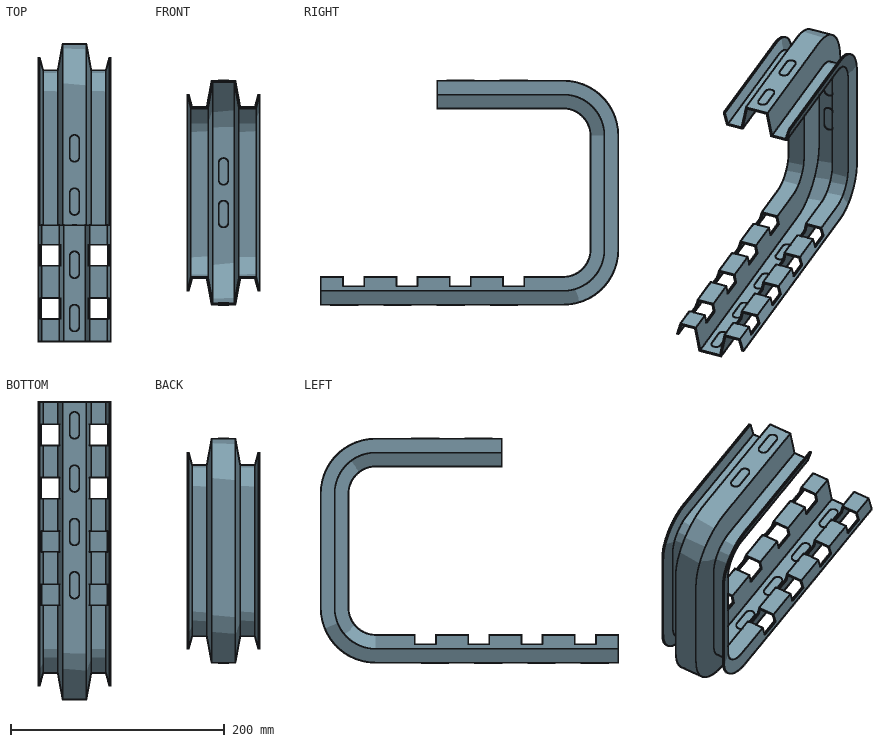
import cadquery as cq
import math

lower_arm_length = 278.7
upper_arm_length = 169.7
height = 210.0
bend_radius = 51.5

sheet = 1.5
section_depth = 26.2
section_half_width = 34.0
web_half_width = 11.1
wall_angle = 10.5
lip_angle = 15.0
lip_edge_depth = 13.0

pad_length = 25.0
pad_width = 9.0
pad_rise = 0.3
arm_pad_end_distance = 22.0
back_pad_spacing = 39.9

notch_length = 19.5
notch_depth = 8.6
notch_end_distance = 31.0

arm_pitch = 50.0
lower_arm_count = 4
upper_arm_count = 2


def section_outline():
    """Closed outline of the hat section, with the web along z = 0."""
    wall_slope = math.tan(math.radians(wall_angle))
    lip_slope = math.tan(math.radians(lip_angle))
    wall_width = sheet / math.cos(math.radians(wall_angle))
    lip_width = sheet / math.cos(math.radians(lip_angle))

    def wall_outer(z):
        return web_half_width + z * wall_slope

    def lip_outer(z):
        return section_half_width - (z - lip_edge_depth) * lip_slope

    flange_depth = section_depth - sheet
    half = [
        (web_half_width, 0),
        (wall_outer(flange_depth), flange_depth),
        (lip_outer(flange_depth) - lip_width, flange_depth),
        (section_half_width - lip_width, lip_edge_depth),
        (section_half_width, lip_edge_depth),
        (lip_outer(section_depth), section_depth),
        (wall_outer(section_depth) - wall_width, section_depth),
        (wall_outer(sheet) - wall_width, sheet),
    ]
    mirrored = [(-x, z) for x, z in reversed(half)]
    return cq.Workplane("XZ").polyline(half + mirrored).close()


def bend_path():
    """C-shaped path along the outer face of the web."""
    back = lower_arm_length
    bend_start = back - bend_radius
    arc_inset = bend_radius * (1 - math.sqrt(0.5))
    return (
        cq.Workplane("YZ")
        .lineTo(bend_start, 0)
        .threePointArc((back - arc_inset, arc_inset), (back, bend_radius))
        .lineTo(back, height - bend_radius)
        .threePointArc((back - arc_inset, height - arc_inset), (bend_start, height))
        .lineTo(back - upper_arm_length, height)
    )


def arm_pads(arm_end, count, z_bottom):
    """Row of pads along an arm from its free end, proud of both web faces."""
    centers = [(0, arm_end + arm_pad_end_distance + i * arm_pitch) for i in range(count)]
    return (
        cq.Workplane("XY", origin=(0, 0, z_bottom))
        .pushPoints(centers)
        .slot2D(pad_length, pad_width, 90)
        .extrude(sheet + 2 * pad_rise)
    )


def back_pads():
    """Pair of pads on the upright web, proud of its inner face only."""
    centers = [(0, height / 2 + side * back_pad_spacing / 2) for side in (-1, 1)]
    return (
        cq.Workplane("XZ", origin=(0, lower_arm_length, 0))
        .pushPoints(centers)
        .slot2D(pad_length, pad_width, 90)
        .extrude(sheet + pad_rise)
    )


def flange_notches():
    """Boxes that cut through flanges, wall tops and lip tops of the lower arm."""
    centers = [(0, notch_end_distance + i * arm_pitch) for i in range(lower_arm_count)]
    return (
        cq.Workplane("XY", origin=(0, 0, section_depth - notch_depth))
        .pushPoints(centers)
        .rect(2 * section_half_width, notch_length)
        .extrude(notch_depth)
    )


upper_arm_end = lower_arm_length - upper_arm_length
upper_pad_bottom = height - sheet - pad_rise

bracket = section_outline().sweep(bend_path())
bracket = bracket.cut(flange_notches())
bracket = bracket.union(arm_pads(0, lower_arm_count, -pad_rise))
bracket = bracket.union(arm_pads(upper_arm_end, upper_arm_count, upper_pad_bottom))
bracket = bracket.union(back_pads())

result = bracket